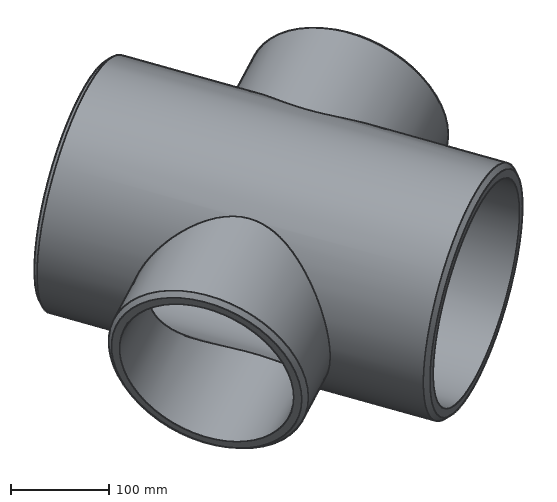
import cadquery as cq

run_length = 432.0
run_outer_diameter = 273.0
run_bore_diameter = 243.5

branch_length = 406.5
branch_outer_diameter = 218.0
branch_bore_diameter = 190.0

bevel = 5.0


def centred_cylinder(plane, diameter, length):
    """Solid cylinder centred on the origin, along the normal of the plane."""
    return cq.Workplane(plane).circle(diameter / 2).extrude(length / 2, both=True)


def bevelled_cylinder(plane, diameter, length):
    """Centred cylinder with both end rims bevelled."""
    return centred_cylinder(plane, diameter, length).edges("%CIRCLE").chamfer(bevel)


run_body = bevelled_cylinder("YZ", run_outer_diameter, run_length)
branch_body = bevelled_cylinder("XZ", branch_outer_diameter, branch_length)
cross_body = run_body.union(branch_body)

run_bore = centred_cylinder("YZ", run_bore_diameter, run_length)
branch_bore = centred_cylinder("XZ", branch_bore_diameter, branch_length)

result = cross_body.cut(run_bore).cut(branch_bore)